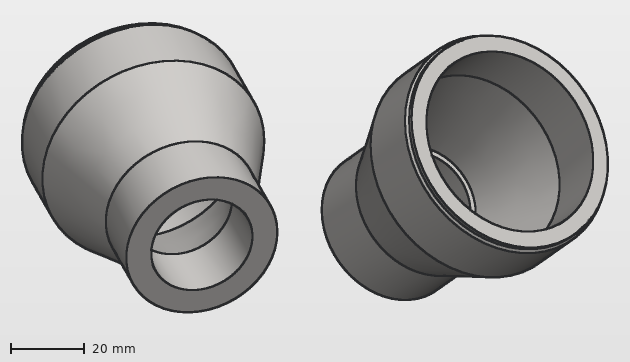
import cadquery as cq

length = 65.0

body_diameter = 63.0
lip_diameter = 61.35
lip_length = 1.35
chamfer = (body_diameter - lip_diameter) / 2
taper_start = 20.85
taper_end = 46.35
neck_diameter = 42.9

bore_diameter = 52.1
bore_depth = 18.3
inner_taper_end_diameter = 32.0
outlet_diameter = 28.7


def revolve_profile(points):
    """Revolve a closed (x, radius) outline around the X axis."""
    return cq.Workplane("XY").polyline(points).close().revolve(360, (0, 0, 0), (1, 0, 0))


def outer_body():
    """Lip, chamfered wide cylinder, taper and narrow neck."""
    return revolve_profile([
        (0, 0),
        (0, lip_diameter / 2),
        (lip_length, lip_diameter / 2),
        (lip_length + chamfer, body_diameter / 2),
        (taper_start, body_diameter / 2),
        (taper_end, neck_diameter / 2),
        (length, neck_diameter / 2),
        (length, 0),
    ])


def inner_passage():
    """Wide bore, inner taper, shoulder and outlet hole."""
    return revolve_profile([
        (0, 0),
        (0, bore_diameter / 2),
        (bore_depth, bore_diameter / 2),
        (taper_end, inner_taper_end_diameter / 2),
        (taper_end, outlet_diameter / 2),
        (length, outlet_diameter / 2),
        (length, 0),
    ])


result = outer_body().cut(inner_passage())